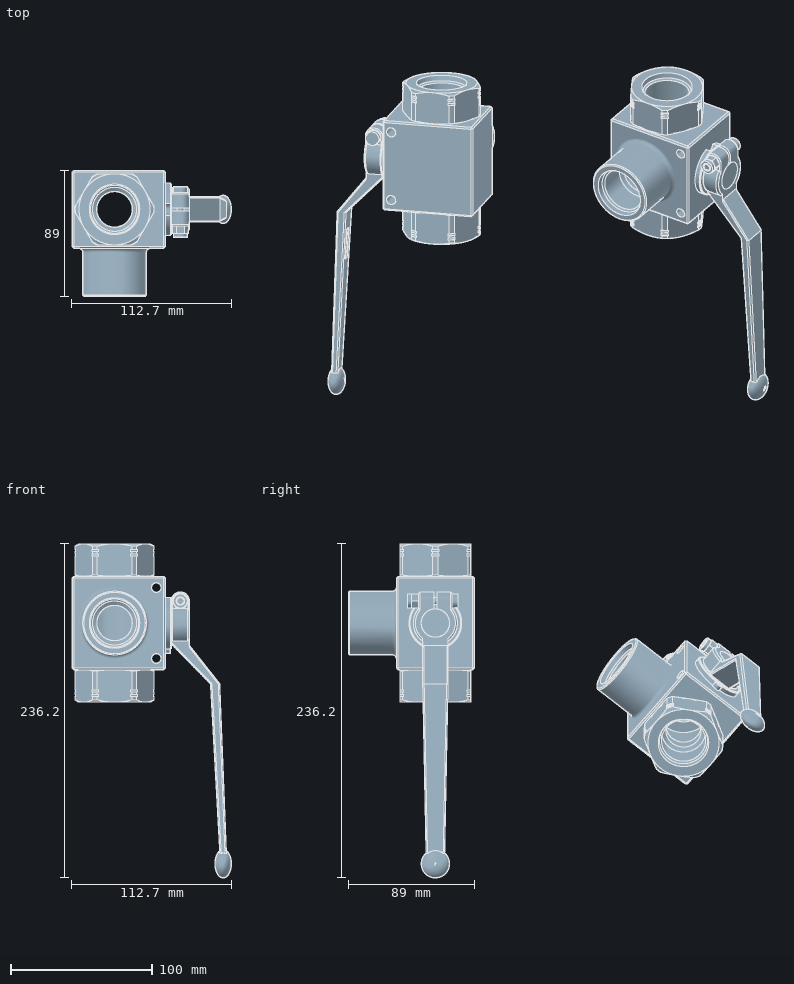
import cadquery as cq
import math


BLOCK_LEFT = -30.0
BLOCK_RIGHT = 36.0
BLOCK_DEPTH = 55.0
BLOCK_HEIGHT = 66.1
BLOCK_CHAMFER = 1.2
MOUNT_HOLE_DIAMETER = 6.5
MOUNT_HOLE_X = 29.5
MOUNT_HOLE_Z = 25.0

HEX_PORT_END = 56.0
HEX_ACROSS_FLATS = 50.3
HEX_CORNER_DIAMETER = 56.0
HEX_OUTER_CHAMFER_ANGLE = 30
HEX_INNER_CHAMFER_ANGLE = 15
HEX_GROOVE_WIDTH = 1.5
HEX_GROOVE_DEPTH = 0.35
HEX_GROOVE_OFFSETS = (4.7, 7.8)
ROUND_PORT_END = 61.53
ROUND_PORT_DIAMETER = 45.0
ROUND_PORT_CHAMFER = 0.83
ROUND_PORT_ROOT_FILLET = 3.0

BORE_DIAMETER = 25.0
THREAD_DIAMETER = 31.2
SEAT_DIAMETER = 34.0
MOUTH_DIAMETER = 35.7
SEAT_DEPTH = 3.8
SEAT_CHAMFER_DEPTH = 1.2
THREAD_DEPTH = 23.6
DRILL_POINT_HALF_ANGLE = 59
CHAMBER_DIAMETER = 41.0

STOP_PLATE_THICKNESS = 3.5
STOP_PLATE_RADIUS = 18.7
STOP_PIN_DIAMETER = 6.1
STOP_PIN_Z = -18.5
STOP_NOTCH_DIAMETER = 8.5
WASHER_THICKNESS = 0.7
WASHER_RADIUS = 18.0
STEM_DIAMETER = 20.0

HUB_LENGTH = 12.8
HUB_DIAMETER = 31.2
HUB_INNER_CHAMFER = 0.7
HUB_OUTER_CHAMFER = 1.5
EAR_WIDTH = 23.6
EAR_CHAMFER = 1.0
SCREW_Z = 15.5
SLIT_WIDTH = 2.0
SCREW_DIAMETER = 5.0
NUT_ACROSS_FLATS = 10.0
NUT_HEIGHT = 5.2
COLLAR_DIAMETER = 10.0
COLLAR_HEIGHT = 2.8
COLLAR_HOLE_DIAMETER = 6.0
COLLAR_HOLE_DEPTH = 1.2
SCREW_HEAD_DIAMETER = 10.0
SCREW_HEAD_HEIGHT = 4.3

ARM_WIDTH = 18.0
ARM_INNER_START_Z = -14.9
ARM_OUTER_START_Z = -15.8
BEND_Z = -43.0
BEND_INNER_X = 67.8
BEND_OUTER_X = 74.5
GRIP_END_Z = -163.0
GRIP_END_INNER_X = 74.5
GRIP_END_OUTER_X = 79.1
GRIP_END_WIDTH = 13.2
ARM_CHAMFER = 0.83
GRIP_CHAMFER = 1.06
KNOB_DIAMETER = 20.0
KNOB_THICKNESS = 11.8
KNOB_BOTTOM = -180.2
LABEL_TOP = -57.2
LABEL_LENGTH = 22.0
LABEL_WIDTH = 5.0
LABEL_DEPTH = 0.2

HEX_FLATS_PER_CORNERS = math.cos(math.pi / 6)
WASHER_START = BLOCK_RIGHT + STOP_PLATE_THICKNESS
HUB_START = WASHER_START + WASHER_THICKNESS
HUB_END = HUB_START + HUB_LENGTH
HUB_MIDDLE = HUB_START + HUB_LENGTH / 2
BLOCK_TOP = BLOCK_HEIGHT / 2


def cylinder_x(radius, start, length):
    """A cylinder along X, centred on the stem axis."""
    return cq.Workplane("YZ", origin=(start, 0, 0)).circle(radius).extrude(length)


def cylinder_y(radius, start, length):
    """A cylinder along the clamp screw, running from y = start towards -Y."""
    return cq.Workplane("XZ", origin=(HUB_MIDDLE, start, SCREW_Z)).circle(radius).extrude(length)


def make_block():
    block = (
        cq.Workplane("XY")
        .box(BLOCK_RIGHT - BLOCK_LEFT, BLOCK_DEPTH, BLOCK_HEIGHT)
        .translate(((BLOCK_LEFT + BLOCK_RIGHT) / 2, 0, 0))
    )
    return block.edges().chamfer(BLOCK_CHAMFER)


def make_hex_port():
    """The upper port: a hexagon trimmed by a turned profile with chamfered ends and grooves."""
    flat_radius = HEX_ACROSS_FLATS / 2
    corner_radius = HEX_CORNER_DIAMETER / 2
    chamfer_width = corner_radius - flat_radius
    inner_chamfer = chamfer_width * math.tan(math.radians(HEX_INNER_CHAMFER_ANGLE))
    outer_chamfer = chamfer_width * math.tan(math.radians(HEX_OUTER_CHAMFER_ANGLE))
    hexagon = (
        cq.Workplane("XY", origin=(0, 0, BLOCK_TOP))
        .polygon(6, HEX_ACROSS_FLATS / HEX_FLATS_PER_CORNERS)
        .extrude(HEX_PORT_END - BLOCK_TOP)
    )
    turned = (
        cq.Workplane("XZ")
        .moveTo(0, BLOCK_TOP)
        .lineTo(flat_radius, BLOCK_TOP)
        .lineTo(corner_radius, BLOCK_TOP + inner_chamfer)
        .lineTo(corner_radius, HEX_PORT_END - outer_chamfer)
        .lineTo(flat_radius, HEX_PORT_END)
        .lineTo(0, HEX_PORT_END)
        .close()
        .revolve(360, (0, 0, 0), (0, 1, 0))
    )
    for offset in HEX_GROOVE_OFFSETS:
        groove = (
            cq.Workplane("XY", origin=(0, 0, HEX_PORT_END - offset - HEX_GROOVE_WIDTH / 2))
            .circle(corner_radius + HEX_GROOVE_DEPTH)
            .circle(corner_radius - HEX_GROOVE_DEPTH)
            .extrude(HEX_GROOVE_WIDTH)
        )
        turned = turned.cut(groove)
    return hexagon.intersect(turned)


def make_round_port():
    """The port towards -Y, with a concave fillet where it leaves the block."""
    radius = ROUND_PORT_DIAMETER / 2
    face = BLOCK_DEPTH / 2
    root = ROUND_PORT_ROOT_FILLET
    arc_inset = root * (1 - math.sqrt(0.5))
    return (
        cq.Workplane("XY")
        .moveTo(0, 0)
        .lineTo(radius + root, 0)
        .lineTo(radius + root, -face)
        .threePointArc((radius + arc_inset, -face - arc_inset), (radius, -face - root))
        .lineTo(radius, -ROUND_PORT_END + ROUND_PORT_CHAMFER)
        .lineTo(radius - ROUND_PORT_CHAMFER, -ROUND_PORT_END)
        .lineTo(0, -ROUND_PORT_END)
        .close()
        .revolve(360, (0, 0, 0), (0, 1, 0))
    )


def make_port_mouth(port_end):
    """The wider outer end of the bore, for a port pointing up that ends at z = port_end."""
    bore_radius = BORE_DIAMETER / 2
    thread_radius = THREAD_DIAMETER / 2
    seat_z = port_end - SEAT_DEPTH
    thread_end_z = port_end - THREAD_DEPTH
    drill_point = (thread_radius - bore_radius) / math.tan(math.radians(DRILL_POINT_HALF_ANGLE))
    return (
        cq.Workplane("XZ")
        .moveTo(0, thread_end_z - drill_point)
        .lineTo(bore_radius, thread_end_z - drill_point)
        .lineTo(thread_radius, thread_end_z)
        .lineTo(thread_radius, seat_z - SEAT_CHAMFER_DEPTH)
        .lineTo(SEAT_DIAMETER / 2, seat_z)
        .lineTo(MOUTH_DIAMETER / 2, port_end)
        .lineTo(0, port_end)
        .close()
        .revolve(360, (0, 0, 0), (0, 1, 0))
    )


def cut_bores(housing):
    """Bore along Z and from the round port to the middle, then widen the chamber and the mouths."""
    radius = BORE_DIAMETER / 2
    through_bore = (
        cq.Workplane("XY", origin=(0, 0, -HEX_PORT_END)).circle(radius).extrude(2 * HEX_PORT_END)
    )
    side_bore = cq.Workplane("XZ").circle(radius).extrude(ROUND_PORT_END)
    chamber_radius = CHAMBER_DIAMETER / 2
    chamber = (
        cq.Workplane("XY", origin=(0, 0, -chamber_radius))
        .circle(chamber_radius)
        .extrude(CHAMBER_DIAMETER)
    )
    hex_mouth = make_port_mouth(HEX_PORT_END)
    round_mouth = make_port_mouth(ROUND_PORT_END).rotate((0, 0, 0), (1, 0, 0), 90)
    mouths = (hex_mouth, hex_mouth.mirror("XY"), round_mouth)
    for cutter in (through_bore, side_bore, chamber, *mouths):
        housing = housing.cut(cutter)
    return housing


def make_mount_holes():
    return (
        cq.Workplane("XZ")
        .pushPoints([(MOUNT_HOLE_X, MOUNT_HOLE_Z), (MOUNT_HOLE_X, -MOUNT_HOLE_Z)])
        .circle(MOUNT_HOLE_DIAMETER / 2)
        .extrude(BLOCK_DEPTH, both=True)
    )


def make_stem():
    """The stop plate with its lower pin and upper notch, a washer and the stem itself."""
    pin = cylinder_x(STOP_PIN_DIAMETER / 2, BLOCK_RIGHT, STOP_PLATE_THICKNESS)
    pin = pin.translate((0, 0, STOP_PIN_Z))
    notch = cylinder_x(STOP_NOTCH_DIAMETER / 2, BLOCK_RIGHT, STOP_PLATE_THICKNESS)
    notch = notch.translate((0, 0, STOP_PLATE_RADIUS))
    plate = cylinder_x(STOP_PLATE_RADIUS, BLOCK_RIGHT, STOP_PLATE_THICKNESS).cut(notch)
    washer = cylinder_x(WASHER_RADIUS, WASHER_START, WASHER_THICKNESS)
    stem = cylinder_x(STEM_DIAMETER / 2, BLOCK_RIGHT, HUB_END - BLOCK_RIGHT)
    return plate.union(pin).union(washer).union(stem)


def make_housing():
    hex_port = make_hex_port()
    housing = make_block().union(make_round_port())
    housing = housing.union(hex_port).union(hex_port.mirror("XY"))
    return cut_bores(housing).cut(make_mount_holes()).union(make_stem())


def make_clamp():
    """The hub around the stem with the ear block that the clamp screw passes through."""
    hub = (
        cylinder_x(HUB_DIAMETER / 2, HUB_START, HUB_LENGTH)
        .faces("<X").chamfer(HUB_INNER_CHAMFER)
        .faces(">X").chamfer(HUB_OUTER_CHAMFER)
    )
    ear = (
        cq.Workplane("XZ", origin=(0, EAR_WIDTH / 2, 0))
        .moveTo(HUB_START, 0)
        .lineTo(HUB_START, SCREW_Z)
        .threePointArc((HUB_MIDDLE, SCREW_Z + HUB_LENGTH / 2), (HUB_END, SCREW_Z))
        .lineTo(HUB_END, 0)
        .close()
        .extrude(EAR_WIDTH)
        .faces("<Y or >Y").chamfer(EAR_CHAMFER)
    )
    return hub.union(ear)


def make_screw():
    """The clamp screw: round head at +Y, nut and collar at -Y, with a gap around the screw tip."""
    ear_face = EAR_WIDTH / 2
    nut_end = -ear_face - NUT_HEIGHT
    collar_end = nut_end - COLLAR_HEIGHT
    head = cylinder_y(SCREW_HEAD_DIAMETER / 2, ear_face + SCREW_HEAD_HEIGHT, SCREW_HEAD_HEIGHT)
    shank = cylinder_y(SCREW_DIAMETER / 2, ear_face, ear_face - collar_end)
    nut = (
        cq.Workplane("XZ", origin=(HUB_MIDDLE, -ear_face, SCREW_Z))
        .polygon(6, NUT_ACROSS_FLATS / HEX_FLATS_PER_CORNERS)
        .extrude(NUT_HEIGHT)
    )
    collar = cylinder_y(COLLAR_DIAMETER / 2, nut_end, COLLAR_HEIGHT)
    gap = cylinder_y(COLLAR_HOLE_DIAMETER / 2, collar_end + COLLAR_HOLE_DEPTH, COLLAR_HOLE_DEPTH)
    return head.union(nut).union(collar.cut(gap)).union(shank)


def make_arm():
    """The slanted arm of constant width, from the hub to the bend."""
    arm = (
        cq.Workplane("XZ", origin=(0, ARM_WIDTH / 2, 0))
        .moveTo(HUB_START, 0)
        .lineTo(HUB_START, ARM_INNER_START_Z)
        .lineTo(BEND_INNER_X, BEND_Z)
        .lineTo(BEND_OUTER_X, BEND_Z)
        .lineTo(HUB_END, ARM_OUTER_START_Z)
        .lineTo(HUB_END, 0)
        .close()
        .extrude(ARM_WIDTH)
    )
    middle_z = (ARM_INNER_START_Z + BEND_Z) / 2
    slice_half_height = (ARM_INNER_START_Z - BEND_Z) / 4
    slanted_edges = cq.selectors.BoxSelector(
        (HUB_START, -ARM_WIDTH, middle_z - slice_half_height),
        (BEND_OUTER_X, ARM_WIDTH, middle_z + slice_half_height),
    )
    return arm.edges(slanted_edges).chamfer(ARM_CHAMFER)


def make_grip():
    """The tapered grip, from the bend down into the knob."""
    bend_middle = (BEND_INNER_X + BEND_OUTER_X) / 2
    end_middle = (GRIP_END_INNER_X + GRIP_END_OUTER_X) / 2
    grip = (
        cq.Workplane("XY", origin=(bend_middle, 0, BEND_Z))
        .rect(BEND_OUTER_X - BEND_INNER_X, ARM_WIDTH)
        .workplane(offset=GRIP_END_Z - BEND_Z)
        .center(end_middle - bend_middle, 0)
        .rect(GRIP_END_OUTER_X - GRIP_END_INNER_X, GRIP_END_WIDTH)
        .loft(ruled=True)
    )
    return grip.edges("not(#Z)").chamfer(GRIP_CHAMFER)


def make_knob():
    """A flattened ball, round about X."""
    centre_x = (GRIP_END_INNER_X + GRIP_END_OUTER_X) / 2
    return (
        cq.Workplane("XY")
        .ellipseArc(KNOB_THICKNESS / 2, KNOB_DIAMETER / 2, 0, 180, startAtCurrent=False)
        .close()
        .revolve(360, (0, 0, 0), (1, 0, 0))
        .translate((centre_x, 0, KNOB_BOTTOM + KNOB_DIAMETER / 2))
    )


def grip_inner_x(z):
    """X of the grip's face towards the housing, at height z."""
    slope = (GRIP_END_INNER_X - BEND_INNER_X) / (GRIP_END_Z - BEND_Z)
    return BEND_INNER_X + slope * (z - BEND_Z)


def make_label_recess():
    """The shallow label panel on the grip face towards the housing."""
    bottom = LABEL_TOP - LABEL_LENGTH
    top_x = grip_inner_x(LABEL_TOP)
    bottom_x = grip_inner_x(bottom)
    return (
        cq.Workplane("XZ", origin=(0, LABEL_WIDTH / 2, 0))
        .moveTo(top_x - LABEL_DEPTH, LABEL_TOP)
        .lineTo(top_x + LABEL_DEPTH, LABEL_TOP)
        .lineTo(bottom_x + LABEL_DEPTH, bottom)
        .lineTo(bottom_x - LABEL_DEPTH, bottom)
        .close()
        .extrude(LABEL_WIDTH)
    )


def make_lever():
    """Clamp, arm, grip, knob and clamp screw, bored to fit the stem and slit above it."""
    slit = (
        cq.Workplane("XY")
        .box(HUB_LENGTH, SLIT_WIDTH, 2 * SCREW_Z)
        .translate((HUB_MIDDLE, 0, SCREW_Z))
    )
    stem_bore = cylinder_x(STEM_DIAMETER / 2, HUB_START, HUB_LENGTH)
    lever = make_clamp().union(make_arm()).union(make_grip()).union(make_knob())
    lever = lever.cut(slit).cut(stem_bore).cut(make_label_recess())
    return lever.union(make_screw())


housing = make_housing()
lever = make_lever()
result = cq.Compound.makeCompound([housing.solids().val(), lever.solids().val()])